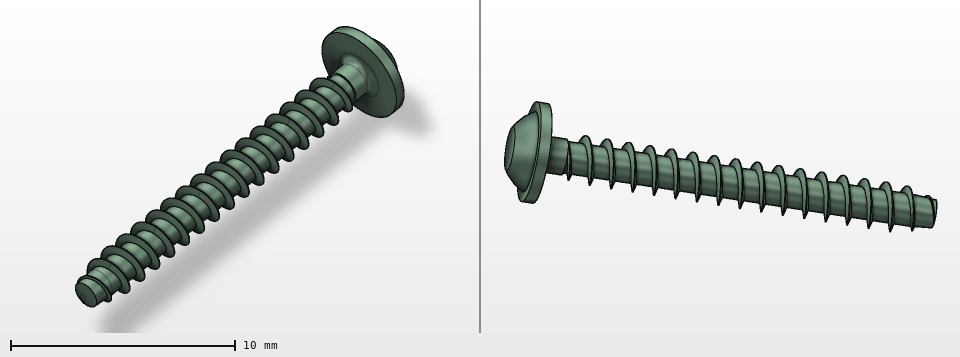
import cadquery as cq
import math


total_length = 19.4

flange_radius = 2.25
flange_thickness = 0.5
dome_base_radius = 1.8
dome_top_radius = 0.99
dome_height = 0.9
dome_mid_radius = 1.51
dome_mid_height = dome_height / 2
head_top = flange_thickness + dome_height
tip_z = head_top - total_length

neck_radius = 0.81
neck_fillet_radius = 0.35
neck_length = 1.09
core_radius = 0.72
tip_radius = 0.64
tip_taper_length = 0.97

helix_length = 17.19
crest_radius = 1.09
crest_width = 0.04
flank_angle = 34.0
thread_depth = 0.5
start_angle = 100.0
run_out_turns = 1.5
run_out_drop = 0.43
full_section_turns = 3
full_section_count = 5
run_in_turns = 1
run_in_drop = 0.23

total_turns = run_out_turns + full_section_turns * full_section_count + run_in_turns
pitch = helix_length / total_turns
root_width = crest_width + 2 * thread_depth * math.tan(math.radians(flank_angle / 2))


def make_blank():
    """Head, filleted neck, core and tapered tip, revolved as one outline."""
    outline = (
        cq.Workplane("XZ")
        .moveTo(0, tip_z)
        .lineTo(tip_radius, tip_z)
        .lineTo(core_radius, tip_z + tip_taper_length)
        .lineTo(core_radius, -neck_length)
        .lineTo(neck_radius, -neck_length)
        .lineTo(neck_radius, -neck_fillet_radius)
        .radiusArc((neck_radius + neck_fillet_radius, 0), neck_fillet_radius)
        .lineTo(flange_radius, 0)
        .lineTo(flange_radius, flange_thickness)
        .lineTo(dome_base_radius, flange_thickness)
        .threePointArc(
            (dome_mid_radius, flange_thickness + dome_mid_height),
            (dome_top_radius, head_top),
        )
        .lineTo(0, head_top)
        .close()
    )
    return outline.revolve(360, (0, 0, 0), (0, 1, 0))


def ridge_profile(crest):
    """Corners (radius, height) of the ridge section with its crest at the given radius."""
    root = crest - thread_depth
    return [
        (root, -root_width / 2),
        (crest, -crest_width / 2),
        (crest, crest_width / 2),
        (root, root_width / 2),
    ]


def profile_face(crest):
    """Flat ridge section in the XZ plane."""
    corners = [cq.Vector(radius, 0, height) for radius, height in ridge_profile(crest)]
    return cq.Face.makeFromWires(cq.Wire.makePolygon(corners, close=True))


def make_ridge(turns, start_crest, end_crest, turns_below):
    """Ridge whose crest rises or sinks evenly, placed after the given turns from the tip."""
    height = turns * pitch
    cone_angle = math.atan2(end_crest - start_crest, height)
    slant = 1 / math.cos(cone_angle)
    helix_angle = math.degrees(cone_angle) or 360.0
    helices = [
        cq.Wire.makeHelix(
            pitch * slant, height * slant, radius, angle=helix_angle
        ).translate(cq.Vector(0, 0, corner_height))
        for radius, corner_height in ridge_profile(start_crest)
    ]
    faces = [
        cq.Face.makeRuledSurface(helices[index - 1], helices[index])
        for index in range(len(helices))
    ]
    axis_start = cq.Vector(0, 0, 0)
    axis_end = cq.Vector(0, 0, 1)
    end_face = profile_face(end_crest).rotate(axis_start, axis_end, 360 * turns)
    faces.append(profile_face(start_crest))
    faces.append(end_face.translate(cq.Vector(0, 0, height)))
    ridge = cq.Solid.makeSolid(cq.Shell.makeShell(faces))
    turned = ridge.rotate(axis_start, axis_end, start_angle + 360 * turns_below)
    return cq.Workplane(obj=turned.translate(cq.Vector(0, 0, tip_z + pitch * turns_below)))


def make_thread_pieces():
    """Run-out at the tip, full sections, and run-in that ends flat against the neck."""
    thread_zone = (
        cq.Workplane("XY", origin=(0, 0, tip_z))
        .circle(flange_radius)
        .extrude(-neck_length - tip_z)
    )
    run_out = make_ridge(run_out_turns, crest_radius - run_out_drop, crest_radius, 0)
    pieces = [run_out.intersect(thread_zone, clean=False)]
    turns_below = run_out_turns
    for _ in range(full_section_count):
        pieces.append(make_ridge(full_section_turns, crest_radius, crest_radius, turns_below))
        turns_below += full_section_turns
    run_in = make_ridge(run_in_turns, crest_radius, crest_radius - run_in_drop, turns_below)
    pieces.append(run_in.intersect(thread_zone, clean=False))
    return pieces


screw = make_blank()
for piece in make_thread_pieces():
    screw = screw.union(piece, clean=False)

result = screw.rotate((0, 0, 0), (1, 0, 0), -90)